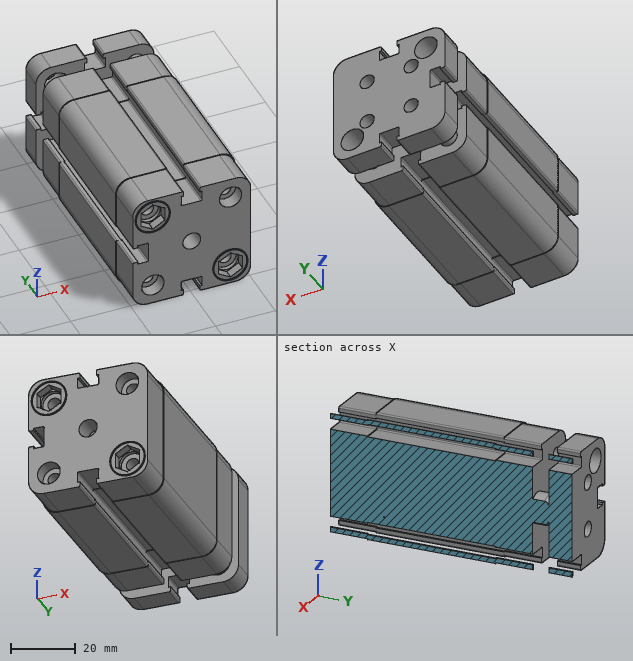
import cadquery as cq
import math

TOTAL_LENGTH = 83.0
PLATE_THICKNESS = 8.0
GAP = 5.5
CAP_LENGTH = 12.8

BODY_LENGTH = TOTAL_LENGTH - PLATE_THICKNESS - GAP
PROFILE_LENGTH = BODY_LENGTH - 2 * CAP_LENGTH
FRONT_Y = -TOTAL_LENGTH / 2
PROFILE_START_Y = FRONT_Y + CAP_LENGTH
PROFILE_END_Y = PROFILE_START_Y + PROFILE_LENGTH
BODY_END_Y = FRONT_Y + BODY_LENGTH
PLATE_Y = BODY_END_Y + GAP

PROFILE_WIDTH = 40.1
CAP_WIDTH = 39.6
CORNER_RADIUS = 5.0

SLOT_MOUTH_WIDTH = 5.5
SLOT_INNER_WIDTH = 7.0
SLOT_LIP = 1.75
CAP_SLOT_DEPTH = 5.2
PROFILE_SLOT_DEPTH = 5.7
SLOT_FLOOR_RADIUS = 0.4
SLOT_MOUTH_RADIUS = 0.5
SLOT_ANGLES = (0, 90, 180)

CORNER_OFFSET = 13.0
THROUGH_DIAMETER = 4.15
PORT_DIAMETER = 7.5
PORT_DEPTH = 4.6
CENTRE_HOLE_DIAMETER = 6.0
CENTRE_HOLE_DEPTH = 7.5
PLATE_HOLE_DIAMETER = 8.0
FIXING_HOLE_DIAMETER = 5.0
FIXING_OFFSET = 7.8

RECESS_DIAMETER = 11.7
HEAD_DIAMETER = 11.1
GROOVE_DEPTH = 0.3
HEX_ACROSS_FLATS = 8.0
HEX_DEPTH = 3.0
SCREW_BORE_DIAMETER = 7.5
SCREW_BORE_DEPTH = 4.4

GUIDE_OFFSET = 13.5
GUIDE_DIAMETER = 6.0
PISTON_DIAMETER = 10.1
PISTON_ACROSS_FLATS = 8.0
PISTON_TIP_RADIUS = 1.3
FLAT_LENGTH = 3.7
FLAT_RUNOUT = 0.8

SCREW_CORNERS = ((-1, 1), (1, -1))
GUIDE_CORNERS = ((-1, -1), (1, 1))

ARC_MIDPOINT_INSET = 1 - math.sqrt(0.5)


def section_plane(y):
    """Plane across the part at y: local x is +X, local y is +Z, extrusion runs toward +Y."""
    return cq.Workplane(cq.Plane(origin=(0, y, 0), xDir=(1, 0, 0), normal=(0, -1, 0)))


def at_corners(corners, offset):
    return [(side_x * offset, side_z * offset) for side_x, side_z in corners]


def cylinders(y, length, diameter, points):
    return section_plane(y).pushPoints(points).circle(diameter / 2).extrude(-length)


def slot_cutter(y, length, width, slot_depth):
    """T-slot cutter for the +Z side of a square section."""
    surface = width / 2
    lip = surface - SLOT_LIP
    floor = surface - slot_depth
    mouth = SLOT_MOUTH_WIDTH / 2
    inner = SLOT_INNER_WIDTH / 2
    mouth_start = surface - SLOT_MOUTH_RADIUS
    mouth_flare = mouth + SLOT_MOUTH_RADIUS
    mouth_inset = SLOT_MOUTH_RADIUS * ARC_MIDPOINT_INSET
    mouth_arc_x = mouth + mouth_inset
    mouth_arc_z = surface - mouth_inset
    floor_x = inner - SLOT_FLOOR_RADIUS
    floor_z = floor + SLOT_FLOOR_RADIUS
    floor_inset = SLOT_FLOOR_RADIUS * ARC_MIDPOINT_INSET
    floor_arc_x = inner - floor_inset
    floor_arc_z = floor + floor_inset
    return (
        section_plane(y)
        .moveTo(-mouth_flare, surface)
        .threePointArc((-mouth_arc_x, mouth_arc_z), (-mouth, mouth_start))
        .lineTo(-mouth, lip)
        .lineTo(-inner, lip)
        .lineTo(-inner, floor_z)
        .threePointArc((-floor_arc_x, floor_arc_z), (-floor_x, floor))
        .lineTo(floor_x, floor)
        .threePointArc((floor_arc_x, floor_arc_z), (inner, floor_z))
        .lineTo(inner, lip)
        .lineTo(mouth, lip)
        .lineTo(mouth, mouth_start)
        .threePointArc((mouth_arc_x, mouth_arc_z), (mouth_flare, surface))
        .close()
        .extrude(-length)
    )


def slotted_block(y, length, width, slot_depth):
    block = section_plane(y).rect(width, width).extrude(-length).edges("|Y").fillet(CORNER_RADIUS)
    cutter = slot_cutter(y, length, width, slot_depth)
    for angle in SLOT_ANGLES:
        block = block.cut(cutter.rotate((0, 0, 0), (0, -1, 0), angle))
    return block


def body():
    front_cap = slotted_block(FRONT_Y, CAP_LENGTH, CAP_WIDTH, CAP_SLOT_DEPTH)
    profile = slotted_block(PROFILE_START_Y, PROFILE_LENGTH, PROFILE_WIDTH, PROFILE_SLOT_DEPTH)
    rear_cap = slotted_block(PROFILE_END_Y, CAP_LENGTH, CAP_WIDTH, CAP_SLOT_DEPTH)
    solid = front_cap.union(profile).union(rear_cap)

    all_corners = at_corners(SCREW_CORNERS + GUIDE_CORNERS, CORNER_OFFSET)
    ports = at_corners(GUIDE_CORNERS, CORNER_OFFSET)
    solid = solid.cut(cylinders(FRONT_Y, BODY_LENGTH, THROUGH_DIAMETER, all_corners))
    solid = solid.cut(cylinders(FRONT_Y, PORT_DEPTH, PORT_DIAMETER, ports))
    return solid.cut(cylinders(FRONT_Y, CENTRE_HOLE_DEPTH, CENTRE_HOLE_DIAMETER, [(0, 0)]))


def screw_head_cutter():
    """Ring groove around each screw head, its hex socket and the bore behind the socket."""
    points = at_corners(SCREW_CORNERS, CORNER_OFFSET)
    groove = cylinders(FRONT_Y, GROOVE_DEPTH, RECESS_DIAMETER, points).cut(
        cylinders(FRONT_Y, GROOVE_DEPTH, HEAD_DIAMETER, points)
    )
    hex_diameter = HEX_ACROSS_FLATS / math.cos(math.pi / 6)
    hexagon = cq.Sketch().regularPolygon(hex_diameter / 2, 6)
    sockets = section_plane(FRONT_Y).pushPoints(points).placeSketch(hexagon).extrude(-HEX_DEPTH)
    bores = cylinders(FRONT_Y, SCREW_BORE_DEPTH, SCREW_BORE_DIAMETER, points)
    return groove.union(sockets).union(bores)


def guide_plate():
    plate = slotted_block(PLATE_Y, PLATE_THICKNESS, CAP_WIDTH, CAP_SLOT_DEPTH)
    clearance_points = at_corners(SCREW_CORNERS, CORNER_OFFSET)
    fixing_points = at_corners(SCREW_CORNERS + GUIDE_CORNERS, FIXING_OFFSET)
    plate = plate.cut(cylinders(PLATE_Y, PLATE_THICKNESS, PLATE_HOLE_DIAMETER, clearance_points))
    return plate.cut(cylinders(PLATE_Y, PLATE_THICKNESS, FIXING_HOLE_DIAMETER, fixing_points))


def piston_rod():
    radius = PISTON_DIAMETER / 2
    half_flats = PISTON_ACROSS_FLATS / 2
    rod = cylinders(BODY_END_Y, GAP, PISTON_DIAMETER, [(0, 0)]).faces(">Y").edges().fillet(PISTON_TIP_RADIUS)
    flat_start_y = PLATE_Y - FLAT_LENGTH
    flat = (
        cq.Workplane("XY")
        .moveTo(half_flats, PLATE_Y)
        .lineTo(half_flats, flat_start_y)
        .lineTo(radius, flat_start_y - FLAT_RUNOUT)
        .lineTo(radius, PLATE_Y)
        .close()
        .extrude(radius, both=True)
    )
    return rod.cut(flat).cut(flat.mirror("YZ"))


guide_rods = cylinders(BODY_END_Y, GAP, GUIDE_DIAMETER, at_corners(GUIDE_CORNERS, GUIDE_OFFSET))

result = body().cut(screw_head_cutter()).union(guide_rods).union(piston_rod()).union(guide_plate())